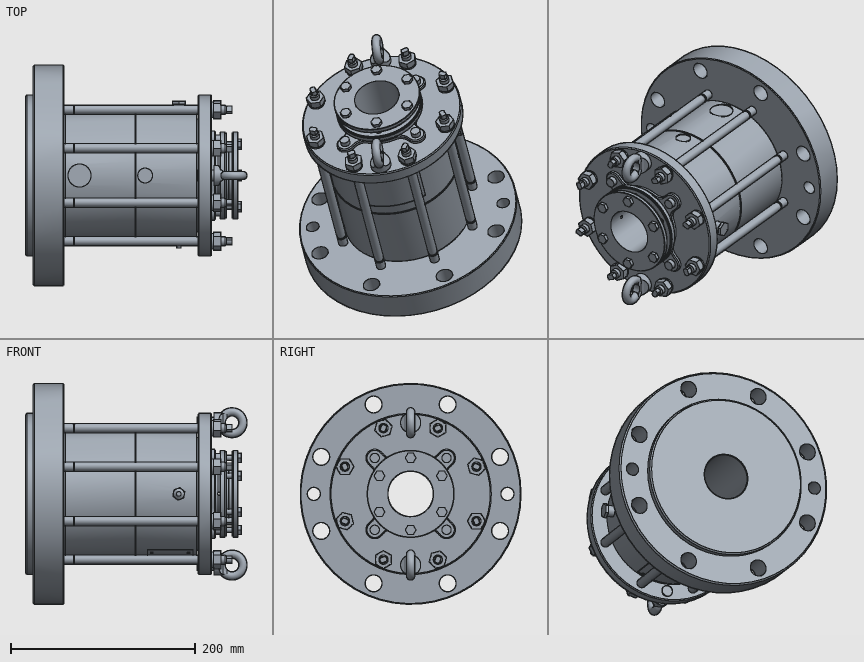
import cadquery as cq
import math


face_diameter = 175.0
face_height = 8.2
face_chamfer = 1.7
flange_diameter = 239.7
flange_back = 41.5
flange_front_chamfer = 1.7
flange_back_chamfer = 1.0
bore_diameter = 49.0
bore_chamfer = 0.7
flange_bolt_circle = 210.0
bolt_hole_diameter = 18.0
jack_hole_diameter = 14.0

body_diameter = 140.0
front_groove_diameter = 135.9
rear_groove_diameter = 122.6
end_groove_width = 1.7
seam_x = 119.3
seam_width = 1.0
seam_depth = 1.0

plate_front = 187.3
plate_back = 202
plate_diameter = face_diameter
plate_chamfer = 1.2

rod_count = 8
rod_circle = 154.4
rod_diameter = 10.0
first_rod_angle = 360 / rod_count / 2
rod_groove_x = 52.7
rod_groove_width = 1.5
rod_groove_depth = 0.7
rod_end = 218.0
rod_end_chamfer = 1.5
washer_diameter = 17.0
washer_thickness = 2.2
nut_across_flats = 17.0
nut_height = 8.0
nut_turn = 22.5
tip_diameter = 8.2
tip_across_flats = 5.5
tip_turn = 45
tip_end = 224.0

shank_diameter = 12
shank_start = 185.9
collar_diameter = 22.0
collar_front = 204.5
collar_back = 209.5
neck_slope_length = 2.5
neck_shoulder_width = 13.5
neck_web_length = 5.0
neck_web_width = 8.7
neck_end = 218.8
eye_wire_diameter = 9.1
eye_ring_diameter = 23.5
eye_end = 240.5

gland_flange_diameter = 84.2
gland_flange_back = 206.0
ear_count = 4
ear_circle = 110.1
ear_radius = 9.5
ear_fillet = 12
ear_chamfer = 1.2
ear_screw_diameter = 10.0
ear_screw_back = 211.5
sleeve_diameter = 60
sleeve_shoulder_back = 208.7
sleeve_neck_diameter = 54.0
sleeve_groove_x = 220.7
sleeve_groove_width = 0.5
sleeve_groove_depth = 1.0
vent_diameter = 3.1
ring_diameter = 94.5
ring_step_diameter = 91.9
ring_chamfer = 0.5
middle_ring_front = 211.0
middle_ring_back = 216.6
middle_step_back = 218.0
outer_step_front = 223.9
outer_ring_front = 225.0
outer_ring_back = 230.4
gland_screw_count = 6
gland_screw_circle = 78.1
gland_screw_diameter = 6.0
screw_head_across_flats = 10.0
screw_head_turn = 30
screw_head_back = 234.2

front_port_x = 58.7
front_port_diameter = 25.0
rear_port_x = 129.8
rear_port_diameter = 16.0
port_depth = 1.5
fitting_x = 166.5
nipple_across_flats = 12
nipple_hex_height = 2.5
nipple_turn = 20
nipple_tip_diameter = 5.0
nipple_cone_height = 5.3
nipple_height = 8.7
plug_across_flats = 14.0
plug_turn = 30
plug_stem_diameter = 12
plug_head_bottom = 77.5
plug_head_top = 80.8

name_plate_start = 132.2
name_plate_end = 181.8
name_plate_thickness = 0.7
name_plate_half_width = 35.8
rivet_inset = 4.8
rivet_angle = 26
rivet_diameter = 3.1
rivet_height = 1.5

body_radius = body_diameter / 2
sink = 2.5


def disc(start, end, diameter, points=((0, 0),)):
    """Cylinders along X at the given (y, z) points."""
    sketch = cq.Workplane("YZ", origin=(start, 0, 0)).pushPoints(points)
    return sketch.circle(diameter / 2).extrude(end - start)


def hexagon(plane, origin, across_flats, height, turn=0):
    """Hexagonal prism with a corner turned from the plane's x direction."""
    prism = cq.Workplane(plane).polygon(6, across_flats / math.cos(math.pi / 6)).extrude(height)
    return prism.rotate((0, 0, 0), cq.Workplane(plane).plane.zDir.toTuple(), turn).translate(origin)


def polar(diameter, angle):
    """(y, z) of a point on a circle about the part axis."""
    turn = math.radians(angle)
    return diameter / 2 * math.cos(turn), diameter / 2 * math.sin(turn)


def around_axis(shape, angle):
    return shape.rotate((0, 0, 0), (1, 0, 0), angle)


def ring_groove(center, width, outer_diameter, depth):
    """Ring-shaped cutter about the part axis."""
    start = center - width / 2
    end = center + width / 2
    return disc(start, end, outer_diameter + sink).cut(disc(start, end, outer_diameter - 2 * depth))


def make_flange():
    face = disc(0, face_height, face_diameter).faces("<X").chamfer(face_chamfer)
    flange = disc(face_height, flange_back, flange_diameter)
    flange = flange.faces("<X").chamfer(flange_front_chamfer)
    flange = flange.faces(">X").chamfer(flange_back_chamfer)
    bolt_step = 360 / rod_count
    bolts = [polar(flange_bolt_circle, first_rod_angle + bolt_step * i) for i in range(rod_count)]
    jacks = [polar(flange_bolt_circle, angle) for angle in (0, 180)]
    flange = flange.cut(disc(0, flange_back, bolt_hole_diameter, bolts))
    flange = flange.cut(disc(0, flange_back, jack_hole_diameter, jacks))
    return face.union(flange)


def make_body():
    front = flange_back + end_groove_width
    rear = plate_front - end_groove_width
    body = disc(front, rear, body_diameter)
    body = body.cut(ring_groove(seam_x, seam_width, body_diameter, seam_depth))
    body = body.union(disc(flange_back, front, front_groove_diameter))
    body = body.union(disc(rear, plate_front, rear_groove_diameter))
    for x, diameter in ((front_port_x, front_port_diameter), (rear_port_x, rear_port_diameter)):
        port = cq.Workplane("XY", origin=(x, 0, body_radius - port_depth)).circle(diameter / 2)
        body = body.cut(port.extrude(port_depth + sink))
    return body


def make_rod():
    """Tie rod with washer, nut and driving tip, centred on the part axis."""
    nut_front = plate_back + washer_thickness
    rod = disc(flange_back - sink, rod_end, rod_diameter).faces(">X").chamfer(rod_end_chamfer)
    rod = rod.cut(ring_groove(rod_groove_x, rod_groove_width, rod_diameter, rod_groove_depth))
    rod = rod.union(disc(plate_back, nut_front, washer_diameter))
    rod = rod.union(hexagon("YZ", (nut_front, 0, 0), nut_across_flats, nut_height, nut_turn))
    tip_length = tip_end - rod_end
    flats = cq.Workplane("XY").box(tip_length, tip_across_flats, tip_diameter)
    flats = flats.translate((rod_end + tip_length / 2, 0, 0))
    tip = disc(rod_end, tip_end, tip_diameter).intersect(around_axis(flats, tip_turn))
    return rod.union(tip)


def make_eye_bolt():
    """Eye bolt with its ring in the XZ plane, centred on the part axis."""
    eye_x = eye_end - (eye_ring_diameter + eye_wire_diameter) / 2
    shank = disc(shank_start, collar_front, shank_diameter)
    collar = disc(collar_front, neck_end, collar_diameter)
    outline = [
        (collar_front, collar_diameter / 2),
        (collar_back, collar_diameter / 2),
        (collar_back + neck_slope_length, neck_shoulder_width / 2),
        (collar_back + neck_web_length, neck_web_width / 2),
        (neck_end, neck_web_width / 2),
    ]
    mirrored = [(x, -y) for x, y in reversed(outline)]
    wedge = cq.Workplane("XY").polyline(outline + mirrored).close().extrude(collar_diameter, both=True)
    hole = cq.Workplane("XZ", origin=(eye_x, 0, 0)).circle((eye_ring_diameter - eye_wire_diameter) / 2)
    neck = collar.intersect(wedge).cut(hole.extrude(collar_diameter, both=True))
    ring = cq.Workplane(cq.Solid.makeTorus(
        eye_ring_diameter / 2, eye_wire_diameter / 2, cq.Vector(eye_x, 0, 0), cq.Vector(0, 1, 0)))
    ring = ring.rotate((eye_x, 0, 0), (eye_x, 1, 0), -90)
    return shank.union(neck).union(ring)


def make_gland_flange():
    """Round flange with screwed-down ears blended into its rim."""
    thickness = gland_flange_back - plate_back
    flange = disc(plate_back, gland_flange_back, gland_flange_diameter)
    ear = disc(plate_back, gland_flange_back, ear_radius * 2, [(ear_circle / 2, 0)])
    arm = cq.Workplane("XY").box(thickness, ear_circle / 2, 2 * ear_radius, centered=(False, False, True))
    ear = ear.union(arm.translate((plate_back, 0, 0)))
    step = 360 / ear_count
    angles = [step * (i + 0.5) for i in range(ear_count)]
    for angle in angles:
        flange = flange.union(around_axis(ear, angle))
    reach = gland_flange_diameter / 2
    inner_corners = cq.selectors.BoxSelector(
        (plate_back, -reach, -reach), (gland_flange_back, reach, reach))
    flange = flange.edges("|X").edges(inner_corners).fillet(ear_fillet)
    flange = flange.faces(">X").edges().chamfer(ear_chamfer)
    screws = [polar(ear_circle, angle) for angle in angles]
    return flange.union(disc(gland_flange_back, ear_screw_back, ear_screw_diameter, screws))


def make_gland():
    sleeve = disc(plate_back, sleeve_shoulder_back, sleeve_diameter)
    sleeve = sleeve.union(disc(sleeve_shoulder_back, middle_ring_front, sleeve_neck_diameter))
    sleeve = sleeve.union(disc(middle_ring_front, outer_ring_back, sleeve_diameter))
    groove = ring_groove(sleeve_groove_x, sleeve_groove_width, sleeve_diameter, sleeve_groove_depth)
    sleeve = sleeve.cut(groove)
    vent_x = (sleeve_shoulder_back + middle_ring_front) / 2
    vent = cq.Workplane("XZ", origin=(vent_x, 0, 0)).circle(vent_diameter / 2)
    sleeve = sleeve.cut(vent.extrude(sleeve_diameter, both=True))

    middle = disc(middle_ring_front, middle_ring_back, ring_diameter).edges().chamfer(ring_chamfer)
    middle = middle.union(disc(middle_ring_back, middle_step_back, ring_step_diameter))
    outer = disc(outer_ring_front, outer_ring_back, ring_diameter).edges().chamfer(ring_chamfer)
    outer = outer.union(disc(outer_step_front, outer_ring_front, ring_step_diameter))

    gland = make_gland_flange().union(sleeve).union(middle).union(outer)
    step = 360 / gland_screw_count
    for i in range(gland_screw_count):
        screw = disc(middle_ring_front, outer_ring_back, gland_screw_diameter)
        head_height = screw_head_back - outer_ring_back
        screw = screw.union(hexagon("YZ", (outer_ring_back, 0, 0), screw_head_across_flats,
                                     head_height, screw_head_turn))
        screw = screw.translate((0, gland_screw_circle / 2, 0))
        gland = gland.union(around_axis(screw, step * (i + 0.5)))
    return gland


def make_nipple():
    """Hexagonal grease nipple on the -Y side of the housing."""
    base = hexagon("XZ", (fitting_x, sink - body_radius, 0), nipple_across_flats,
                   nipple_hex_height + sink, nipple_turn)
    cone_base = nipple_across_flats / 2
    tip = nipple_tip_diameter / 2
    profile = [
        (0, 0),
        (cone_base, 0),
        (cone_base, nipple_hex_height),
        (tip, nipple_cone_height),
        (tip, nipple_height),
        (0, nipple_height),
    ]
    cone = cq.Workplane("XY").polyline(profile).close().revolve(360, (0, 0, 0), (0, 1, 0))
    cone = cone.rotate((0, 0, 0), (1, 0, 0), 180).translate((fitting_x, -body_radius, 0))
    return base.union(cone)


def make_plug():
    """Hexagon-head plug on the +Y side of the housing."""
    stem = cq.Workplane("XZ", origin=(fitting_x, plug_head_bottom, 0)).circle(plug_stem_diameter / 2)
    stem = stem.extrude(plug_head_bottom - body_radius + sink)
    head = hexagon("XZ", (fitting_x, plug_head_top, 0), plug_across_flats,
                   plug_head_top - plug_head_bottom, plug_turn)
    return stem.union(head)


def make_name_plate():
    """Curved plate following the bottom of the housing, with a rivet in each corner."""
    plate = disc(name_plate_start, name_plate_end, body_diameter + 2 * name_plate_thickness)
    plate = plate.cut(disc(name_plate_start, name_plate_end, body_diameter - sink))
    length = name_plate_end - name_plate_start
    sector = cq.Workplane("XY").box(length, 2 * name_plate_half_width, body_diameter)
    sector = sector.translate(((name_plate_start + name_plate_end) / 2, 0, -body_radius))
    plate = plate.intersect(sector)
    for x in (name_plate_start + rivet_inset, name_plate_end - rivet_inset):
        rivet = cq.Workplane("XY", origin=(x, 0, -body_radius - rivet_height)).circle(rivet_diameter / 2)
        rivet = rivet.extrude(rivet_height + sink)
        for angle in (-rivet_angle, rivet_angle):
            plate = plate.union(around_axis(rivet, angle))
    return plate


end_plate = disc(plate_front, plate_back, plate_diameter).edges().chamfer(plate_chamfer)
result = make_flange().union(make_body()).union(end_plate).union(make_gland())

rod = make_rod().translate((0, rod_circle / 2, 0))
for i in range(rod_count):
    result = result.union(around_axis(rod, first_rod_angle + 360 / rod_count * i))

eye_bolt = make_eye_bolt()
for side in (1, -1):
    result = result.union(eye_bolt.translate((0, 0, side * rod_circle / 2)))

result = result.union(make_nipple()).union(make_plug()).union(make_name_plate())

result = result.cut(disc(0, screw_head_back, bore_diameter))
result = result.faces("<X").edges(cq.selectors.RadiusNthSelector(0)).chamfer(bore_chamfer)